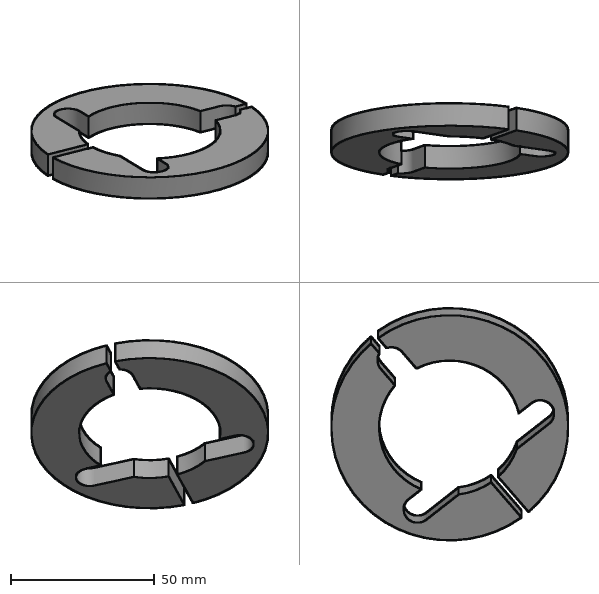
import cadquery as cq
import math

outer_radius = 41.3
bore_radius = 24.6
thickness = 8.1
split_gap = 3.1

slot_width = 9.65
slot_end_radius = 31.95
end_angle = 30.0
slot_end_x = slot_end_radius * math.cos(math.radians(end_angle))
slot_end_y = slot_end_radius * math.sin(math.radians(end_angle))


def make_ring():
    """Plain flat ring around the Z axis."""
    return cq.Workplane("XY").circle(outer_radius).circle(bore_radius).extrude(thickness)


def make_cross_slot():
    """Round-ended slot across the bore, parallel to X, on the -Y side."""
    overall_length = 2 * slot_end_x + slot_width
    return (
        cq.Workplane("XY")
        .center(0, -slot_end_y)
        .slot2D(overall_length, slot_width)
        .extrude(thickness)
    )


def make_top_slot():
    """Round-ended slot from the bore centre toward +Y."""
    return (
        cq.Workplane("XY")
        .center(0, slot_end_radius / 2)
        .slot2D(slot_end_radius + slot_width, slot_width, 90)
        .extrude(thickness)
    )


def make_half_ring(side):
    """Half of the slotted ring; side is -1 for -X and +1 for +X."""
    half_space = (
        cq.Workplane("XY")
        .center(side * (split_gap / 2 + outer_radius / 2), 0)
        .rect(outer_radius, 2 * outer_radius)
        .extrude(thickness)
    )
    slotted_ring = make_ring().cut(make_cross_slot()).cut(make_top_slot())
    return slotted_ring.intersect(half_space).solids().val()


half_rings = [make_half_ring(side) for side in (-1, 1)]

result = cq.Compound.makeCompound(half_rings)